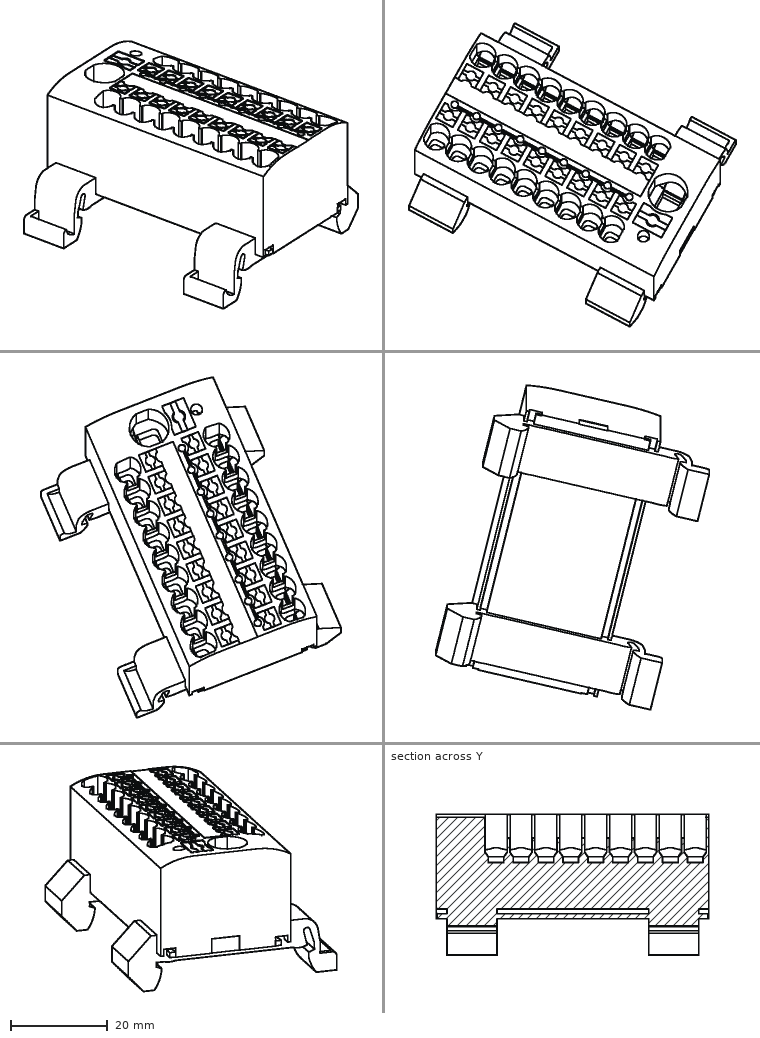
import cadquery as cq


BLOCK_LENGTH = 56.45
BLOCK_HALF_WIDTH = 14.3
BLOCK_TOP = 29.2
SHOULDER_Z = 27.25
FLAT_HALF_WIDTH = 7.0
SKIRT_Z = 8.1
CORE_Z = 7.5

GROOVE_INNER_Y = 10.95
GROOVE_OUTER_Y = 13.6
GROOVE_TOP = 9.55
LIP_OUTER_Y = 12.2
LIP_TOP = 8.6
LIP_SETBACK = 0.15

WINDOW_WIDTH = 6.1
WINDOW_TOP = 10.6
WINDOW_DEPTH = 0.1

CELL_COUNT = 9
FIRST_CELL_X = 12.4
LAST_CELL_X = 53.6
CELL_PITCH = (LAST_CELL_X - FIRST_CELL_X) / (CELL_COUNT - 1)
ENTRY_Y = 9.95
ENTRY_RADIUS = 2.7
ENTRY_HALF_WIDTH = 2.25
ENTRY_FLOOR = 23.15
FUNNEL_HEIGHT = 2.8
FUNNEL_TAPER = 35
SHAFT_DEPTH = 3.95
LEDGE_DEPTH = 1.15
SHAFT_HALF_WIDTH = 1.6
SHAFT_INNER = 1.35
SHAFT_OUTER = 1.3
SHAFT_CORNER = 1.0
LEDGE_WIDTH = 0.3
LINK_WIDTH = 2.35
LINK_FLOOR = 24.3

MAIN_X = 5.8
MAIN_ENTRY_Y = -2.4
MAIN_ENTRY_RADIUS = 4.05
MAIN_ENTRY_HALF_WIDTH = 3.85
MAIN_SHAFT_HALF_WIDTH = 2.2
MAIN_SHAFT_INNER = 2.55
MAIN_SHAFT_OUTER = 2.25
MAIN_SHAFT_CORNER = 1.0
MAIN_LEDGE_WIDTH = 0.6

PROBE_Y = 8.2
PROBE_RADIUS = 1.2
PROBE_FLOOR = 24.85
PROBE_STEP_Y = 0.5
PROBE_STEP_DEPTH = 1.15

BUTTON_DEPTH = 0.15
SLOT_DEPTH = 0.35
BUTTON_HALF_WIDTH = 2.0
BUTTON_INNER_Y = 2.9
BUTTON_OUTER_Y = 6.65
DIMPLE_Y = 4.85
DIMPLE_RADIUS = 1.0
BUTTON_SLOT_WIDTH = 0.75

TEST_POINT_Y = 2.2
TEST_POINT_RADIUS = 0.75
BUTTON_BITE_RADIUS = 1.35
TEST_CHANNEL_WIDTH = 0.4
TEST_CHANNEL_Y = 2.35
TEST_DEPTH = 0.2

MAIN_BUTTON_HALF_WIDTH = 3.4
MAIN_BUTTON_INNER_Y = 1.85
MAIN_DIMPLE_Y = 4.25
MAIN_DIMPLE_RADIUS = 1.15
MAIN_RIM_RADIUS = 1.35
MAIN_RIM_DEPTH = 0.2
MAIN_SLOT_WIDTH = 1.2
MAIN_BITE_RADIUS = 4.7

STRIP_START_X = FIRST_CELL_X - BUTTON_HALF_WIDTH
STRIP_TOP_Y = 1.0
STRIP_BOTTOM_Y = -2.95
STRIP_DEPTH = 0.085

CLIP_WIDTH = 10.4
CLIP_STARTS = (2.25, 44.0)
CLIP_TOP = 11.95
PLATE_BOTTOM = 6.0
BULGE_BOTTOM = 5.8
FIXED_END_Y = 20.55
FIXED_TOP_Y = 15.6
FIXED_BEVEL_Z = (6.95, 3.6)
FIXED_TOE_Y = (17.2, 14.85)
RAIL_STOP_Y = 14.4
CLAW_TOP = 4.6
CLAW_ROOT_Z = 5.0
FIXED_CLAW_Y = 13.2
RELEASE_CLAW_Y = -19.0
RELEASE_END_Y = -25.2
STEM_Y = -21.5
STEM_BEND_Z = 6.6
RELEASE_TOP = 4.05
RELEASE_ROUND = 0.95
TROUGH_WALL = 1.1
TROUGH_FLOOR = 1.85
TROUGH_RADIUS = 2.8
TROUGH_RIM_Y = RELEASE_END_Y + RELEASE_ROUND

cell_xs = [FIRST_CELL_X + CELL_PITCH * i for i in range(CELL_COUNT)]
rows = (1, -1)


def box(x_range, y_range, z_range):
    """Box between two limits on each axis."""
    size = [high - low for low, high in (x_range, y_range, z_range)]
    return cq.Workplane("XY").box(*size, centered=False).translate((x_range[0], y_range[0], z_range[0]))


def around(centre, half):
    return (centre - half, centre + half)


def mirrored(side, near, far):
    """Limits on Y between two distances from the centre plane, on the given side of it."""
    return tuple(sorted((side * near, side * far)))


def disc(x, y, radius, z_range):
    """Upright cylinder between two heights."""
    low, high = z_range
    return cq.Workplane("XY").workplane(offset=low).center(x, y).circle(radius).extrude(high - low)


def cut_all(block, tools):
    """Cut several tools out of the block at once."""
    return cq.Workplane(block.val().cut(*[tool.val() for tool in tools]))


def make_block():
    shoulder_run = BLOCK_HALF_WIDTH - FLAT_HALF_WIDTH
    shoulder_drop = BLOCK_TOP - SHOULDER_Z
    shoulder_radius = (shoulder_run**2 + shoulder_drop**2) / (2 * shoulder_drop)
    block = (
        cq.Workplane("YZ")
        .moveTo(-BLOCK_HALF_WIDTH, SKIRT_Z)
        .lineTo(-BLOCK_HALF_WIDTH, SHOULDER_Z)
        .radiusArc((-FLAT_HALF_WIDTH, BLOCK_TOP), shoulder_radius)
        .lineTo(FLAT_HALF_WIDTH, BLOCK_TOP)
        .radiusArc((BLOCK_HALF_WIDTH, SHOULDER_Z), shoulder_radius)
        .lineTo(BLOCK_HALF_WIDTH, SKIRT_Z)
        .close()
        .extrude(BLOCK_LENGTH)
    )
    length = (0, BLOCK_LENGTH)
    block = block.union(box(length, around(0, GROOVE_INNER_Y), (CORE_Z, GROOVE_TOP)))
    lip_length = (LIP_SETBACK, BLOCK_LENGTH - LIP_SETBACK)
    for side in rows:
        block = block.cut(box(length, mirrored(side, GROOVE_INNER_Y, GROOVE_OUTER_Y), (CORE_Z, GROOVE_TOP)))
        block = block.union(box(lip_length, mirrored(side, GROOVE_INNER_Y, LIP_OUTER_Y), (CORE_Z, LIP_TOP)))
    return block.cut(box((0, WINDOW_DEPTH), around(0, WINDOW_WIDTH / 2), (CORE_Z, WINDOW_TOP)))


def wire_entry(radius, half_width, shaft_half, inner, outer, corner, ledge):
    """Round entry on the Z axis with two flats, a flared funnel under it and a shaft below.

    The shaft has rounded corners on its -Y side and a ledge on its +Y side.
    """
    funnel_z = ENTRY_FLOOR - FUNNEL_HEIGHT
    shaft_x = around(0, shaft_half)
    ledge_z = funnel_z - LEDGE_DEPTH
    shaft = box(shaft_x, (-inner, outer), (ledge_z, funnel_z))
    shaft = shaft.union(box(shaft_x, (-inner, outer - ledge), (funnel_z - SHAFT_DEPTH, ledge_z)))
    shaft = shaft.faces("<Y").edges("|Z").fillet(corner)
    funnel = shaft.faces(">Z").wires().toPending().extrude(FUNNEL_HEIGHT, taper=-FUNNEL_TAPER, combine=False)
    envelope = disc(0, 0, radius, (funnel_z, BLOCK_TOP))
    envelope = envelope.intersect(box(around(0, half_width), around(0, radius), (funnel_z, BLOCK_TOP)))
    bore = box(around(0, radius), around(0, radius), (ENTRY_FLOOR, BLOCK_TOP))
    return envelope.intersect(bore.union(funnel)).union(shaft)


def cut_wire_entries(block):
    entry = wire_entry(
        ENTRY_RADIUS, ENTRY_HALF_WIDTH, SHAFT_HALF_WIDTH, SHAFT_INNER, SHAFT_OUTER, SHAFT_CORNER, LEDGE_WIDTH,
    )
    for side in rows:
        row_entry = entry if side > 0 else entry.mirror("XZ")
        block = cut_all(block, [row_entry.translate((x, side * ENTRY_Y, 0)) for x in cell_xs])
        link_y = around(side * ENTRY_Y, LINK_WIDTH / 2)
        block = block.cut(box((FIRST_CELL_X, LAST_CELL_X), link_y, (LINK_FLOOR, BLOCK_TOP)))
    main_entry = wire_entry(
        MAIN_ENTRY_RADIUS, MAIN_ENTRY_HALF_WIDTH, MAIN_SHAFT_HALF_WIDTH,
        MAIN_SHAFT_INNER, MAIN_SHAFT_OUTER, MAIN_SHAFT_CORNER, MAIN_LEDGE_WIDTH,
    )
    return block.cut(main_entry.mirror("XZ").translate((MAIN_X, MAIN_ENTRY_Y, 0)))


def cut_probe_hole(block):
    hole = disc(MAIN_X, PROBE_Y, PROBE_RADIUS, (PROBE_FLOOR, BLOCK_TOP))
    deep_z = (PROBE_FLOOR - PROBE_STEP_DEPTH, PROBE_FLOOR)
    deep_y = (PROBE_Y + PROBE_STEP_Y, PROBE_Y + PROBE_RADIUS)
    deep_part = disc(MAIN_X, PROBE_Y, PROBE_RADIUS, deep_z)
    deep_part = deep_part.intersect(box(around(MAIN_X, PROBE_RADIUS), deep_y, deep_z))
    return block.cut(hole.union(deep_part))


def button(x, half_width, y_range, bite, dimple_y, dimple_radius, slot_width):
    """Sunk button with its slot and dimple; `bite` is the y and radius of the disc kept out of it."""
    bite_y, bite_radius = bite
    button_z = (BLOCK_TOP - BUTTON_DEPTH, BLOCK_TOP)
    slot_z = (BLOCK_TOP - SLOT_DEPTH, BLOCK_TOP)
    pad = box(around(x, half_width), y_range, button_z).cut(disc(x, bite_y, bite_radius, button_z))
    slot = box(around(x, half_width), around(dimple_y, slot_width / 2), slot_z)
    return pad.union(slot).union(disc(x, dimple_y, dimple_radius, slot_z))


def cut_buttons(block):
    for side in rows:
        row_button = button(
            0, BUTTON_HALF_WIDTH, mirrored(side, BUTTON_INNER_Y, BUTTON_OUTER_Y),
            (side * TEST_POINT_Y, BUTTON_BITE_RADIUS),
            side * DIMPLE_Y, DIMPLE_RADIUS, BUTTON_SLOT_WIDTH,
        )
        block = cut_all(block, [row_button.translate((x, 0, 0)) for x in cell_xs])
    main_button = button(
        MAIN_X, MAIN_BUTTON_HALF_WIDTH, (MAIN_BUTTON_INNER_Y, BUTTON_OUTER_Y),
        (MAIN_ENTRY_Y, MAIN_BITE_RADIUS), MAIN_DIMPLE_Y, MAIN_DIMPLE_RADIUS, MAIN_SLOT_WIDTH,
    )
    rim = disc(MAIN_X, MAIN_DIMPLE_Y, MAIN_RIM_RADIUS, (BLOCK_TOP - MAIN_RIM_DEPTH, BLOCK_TOP))
    return cut_all(block, [main_button, rim])


def cut_test_points(block):
    test_z = (BLOCK_TOP - TEST_DEPTH, BLOCK_TOP)
    channel = box((FIRST_CELL_X, LAST_CELL_X), around(TEST_CHANNEL_Y, TEST_CHANNEL_WIDTH / 2), test_z)
    points = [disc(x, TEST_POINT_Y, TEST_POINT_RADIUS, test_z) for x in cell_xs]
    return cut_all(block, [channel] + points)


def cut_marking_strip(block):
    strip_z = (BLOCK_TOP - STRIP_DEPTH, BLOCK_TOP)
    strip = box((STRIP_START_X, BLOCK_LENGTH), (STRIP_BOTTOM_Y, STRIP_TOP_Y), strip_z)
    bites = [disc(x, -TEST_POINT_Y, BUTTON_BITE_RADIUS, strip_z) for x in cell_xs]
    return cut_all(block, [strip] + bites)


def make_clip():
    """Clip with its -X face at X = 0: a fixed foot on +Y and a sprung release foot on -Y."""
    upper_bevel_z, lower_bevel_z = FIXED_BEVEL_Z
    toe_outer_y, toe_inner_y = FIXED_TOE_Y
    clip = (
        cq.Workplane("YZ")
        .moveTo(BLOCK_HALF_WIDTH, CLIP_TOP)
        .lineTo(FIXED_TOP_Y, CLIP_TOP)
        .lineTo(FIXED_END_Y, upper_bevel_z)
        .lineTo(FIXED_END_Y, lower_bevel_z)
        .lineTo(toe_outer_y, 0)
        .lineTo(toe_inner_y, 0)
        .threePointArc((13.65, 2.25), (FIXED_CLAW_Y, CLAW_TOP))
        .lineTo(RAIL_STOP_Y, CLAW_ROOT_Z)
        .lineTo(RAIL_STOP_Y, PLATE_BOTTOM)
        .lineTo(12.7, PLATE_BOTTOM)
        .threePointArc((11.45, BULGE_BOTTOM), (10.15, PLATE_BOTTOM))
        .lineTo(-15.65, PLATE_BOTTOM)
        .threePointArc((-17.1, BULGE_BOTTOM), (-18.65, 6.2))
        .lineTo(-17.9, 9.2)
        .threePointArc((-18.45, 10.0), (-19.25, 9.55))
        .lineTo(-20.2, 6.55)
        .lineTo(-20.25, 5.1)
        .lineTo(RELEASE_CLAW_Y, CLAW_TOP)
        .lineTo(RELEASE_CLAW_Y, 3.4)
        .threePointArc((-19.65, 1.6), (-20.65, 0))
        .lineTo(RELEASE_END_Y, 0)
        .lineTo(RELEASE_END_Y, RELEASE_TOP - RELEASE_ROUND)
        .radiusArc((TROUGH_RIM_Y, RELEASE_TOP), RELEASE_ROUND)
        .lineTo(STEM_Y, RELEASE_TOP)
        .lineTo(STEM_Y, STEM_BEND_Z)
        .lineTo(-21.1, 9.1)
        .threePointArc((-20.0, 11.25), (-17.65, CLIP_TOP))
        .lineTo(-BLOCK_HALF_WIDTH, CLIP_TOP)
        .lineTo(-BLOCK_HALF_WIDTH, CORE_Z)
        .lineTo(BLOCK_HALF_WIDTH, CORE_Z)
        .close()
        .extrude(CLIP_WIDTH)
    )
    clip_x = (0, CLIP_WIDTH)
    for side in rows:
        under_skirt = box(clip_x, mirrored(side, LIP_OUTER_Y, BLOCK_HALF_WIDTH), (CORE_Z, SKIRT_Z))
        hook_post = box(clip_x, mirrored(side, LIP_OUTER_Y, GROOVE_OUTER_Y), (CORE_Z, GROOVE_TOP))
        hook_tip = box(clip_x, mirrored(side, GROOVE_INNER_Y, LIP_OUTER_Y), (LIP_TOP, GROOVE_TOP))
        clip = clip.union(under_skirt).union(hook_post).union(hook_tip)
    trough = (
        cq.Workplane("YZ", origin=(TROUGH_WALL, 0, 0))
        .moveTo(STEM_Y, RELEASE_TOP)
        .lineTo(STEM_Y, TROUGH_FLOOR)
        .radiusArc((TROUGH_RIM_Y, RELEASE_TOP), TROUGH_RADIUS)
        .close()
        .extrude(CLIP_WIDTH - TROUGH_WALL)
    )
    return clip.cut(trough)


block = make_block()
block = cut_wire_entries(block)
block = cut_probe_hole(block)
block = cut_buttons(block)
block = cut_test_points(block)
block = cut_marking_strip(block)

clip = make_clip()
result = block
for clip_start in CLIP_STARTS:
    result = result.union(clip.translate((clip_start, 0, 0)))